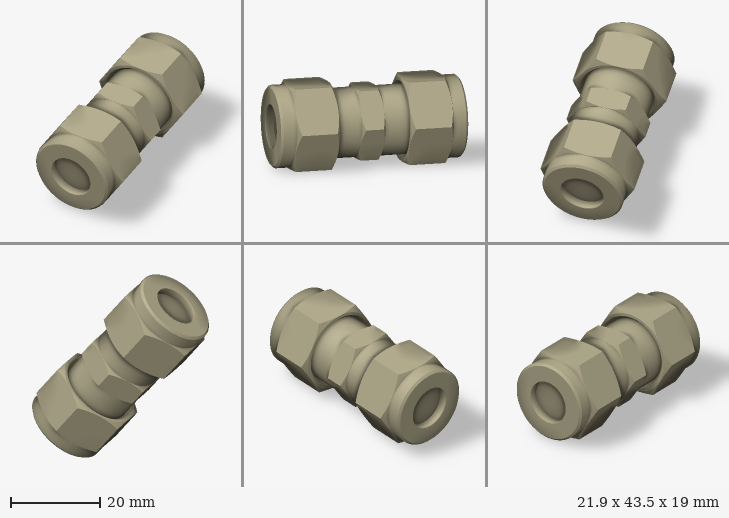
import cadquery as cq
import math


NECK_DIAMETER = 15.9
NECK_LENGTH = 5.5
BODY_HEX_FLATS = 16.0
BODY_HEX_LENGTH = 5.5

NUT_HEX_FLATS = 19.0
NUT_HEX_LENGTH = 10.0
COLLAR_DIAMETER = 18.8
COLLAR_LENGTH = 3.5
COLLAR_CHAMFER = 0.5
HEX_CHAMFER_ANGLE = 30.0

MOUTH_DIAMETER = 17.6
MOUTH_DEPTH = (MOUTH_DIAMETER - NECK_DIAMETER) / 2

SOCKET_DIAMETER = 10.0
SOCKET_DEPTH = 2.0
SOCKET_RIM_CHAMFER = 0.1

BODY_HEX_END = BODY_HEX_LENGTH / 2
NUT_START = BODY_HEX_END + NECK_LENGTH
NUT_HEX_END = NUT_START + NUT_HEX_LENGTH
FITTING_END = NUT_HEX_END + COLLAR_LENGTH


def cylinder(diameter, y_start, y_end):
    """Round bar along Y between two stations."""
    plane = cq.Workplane("XZ", origin=(0, y_start, 0))
    return plane.circle(diameter / 2).extrude(y_start - y_end)


def revolve_about_y(profile):
    """Solid of revolution about Y from a closed list of (radius, y) points."""
    return cq.Workplane("XY").polyline(profile).close().revolve(360, (0, 0), (0, 1))


def chamfered_hexagon(flats, end_face_diameter, y_start, y_end):
    """Hexagonal bar along Y with corners on X and both ends coned.

    The start face is as wide as the flats; the end face has its own diameter.
    """
    corner_radius = flats / math.sqrt(3)
    start_radius = flats / 2
    end_radius = end_face_diameter / 2
    cone_slope = math.tan(math.radians(HEX_CHAMFER_ANGLE))
    plane = cq.Workplane("XZ", origin=(0, y_start, 0))
    hexagon = plane.polygon(6, 2 * corner_radius).extrude(y_start - y_end)
    turned_profile = [
        (0, y_start),
        (start_radius, y_start),
        (corner_radius, y_start + (corner_radius - start_radius) * cone_slope),
        (corner_radius, y_end - (corner_radius - end_radius) * cone_slope),
        (end_radius, y_end),
        (0, y_end),
    ]
    return hexagon.intersect(revolve_about_y(turned_profile))


def collar():
    """Round outer end of a nut, chamfered on its outer rim."""
    bar = cylinder(COLLAR_DIAMETER, NUT_HEX_END, FITTING_END)
    return bar.faces(">Y").chamfer(COLLAR_CHAMFER)


def nut_mouth():
    """Conical cutter for the nut's inner end, narrowing to the neck diameter."""
    profile = [
        (0, NUT_START),
        (MOUTH_DIAMETER / 2, NUT_START),
        (NECK_DIAMETER / 2, NUT_START + MOUTH_DEPTH),
        (0, NUT_START + MOUTH_DEPTH),
    ]
    return revolve_about_y(profile)


def nut():
    """Nut on the +Y end: hexagon and collar with a countersunk mouth."""
    hexagon = chamfered_hexagon(NUT_HEX_FLATS, COLLAR_DIAMETER, NUT_START, NUT_HEX_END)
    return hexagon.union(collar()).cut(nut_mouth())


def tube_socket():
    """Cutter for the blind socket, flared at the rim."""
    radius = SOCKET_DIAMETER / 2
    profile = [
        (0, FITTING_END - SOCKET_DEPTH),
        (radius, FITTING_END - SOCKET_DEPTH),
        (radius, FITTING_END - SOCKET_RIM_CHAMFER),
        (radius + SOCKET_RIM_CHAMFER, FITTING_END),
        (0, FITTING_END),
    ]
    return revolve_about_y(profile)


def half_fitting():
    """The +Y half: neck, nut and tube socket, starting at the mid-plane."""
    neck = cylinder(NECK_DIAMETER, 0, NUT_HEX_END)
    return nut().union(neck).cut(tube_socket())


body_hexagon = chamfered_hexagon(BODY_HEX_FLATS, BODY_HEX_FLATS, -BODY_HEX_END, BODY_HEX_END)
positive_half = half_fitting()
negative_half = positive_half.mirror("XZ")
result = body_hexagon.union(positive_half).union(negative_half)